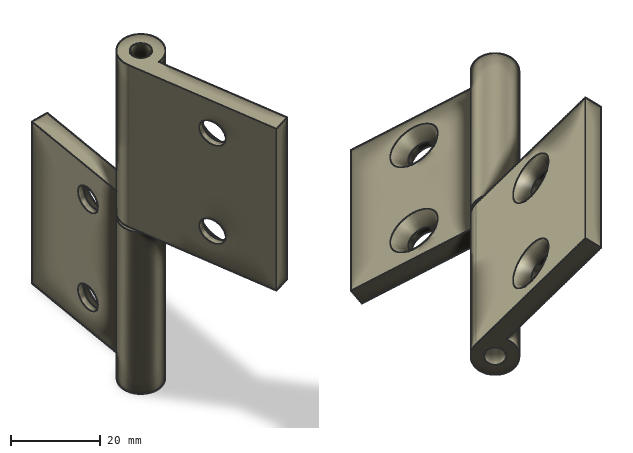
import cadquery as cq

total_height = 100.0
leaf_gap = 1.0
barrel_diameter = 11.0
bore_diameter = 5.0
leaf_length = 39.5
leaf_thickness = 4.5
screw_hole_diameter = 7.0
countersink_diameter = 12.8
screw_hole_spacing = 30.0
lower_hole_distance = 19.8
upper_hole_distance = 22.5
lower_leaf_angle = 175.5
upper_leaf_angle = 13.4

leaf_height = (total_height - leaf_gap) / 2
barrel_radius = barrel_diameter / 2
countersink_depth = (countersink_diameter - screw_hole_diameter) / 2
tangent_face_y = -barrel_radius
inner_face_y = tangent_face_y + leaf_thickness
plate_center_offset = barrel_radius - leaf_thickness / 2


def make_screw_hole(countersunk_face_y):
    """Through hole along Y, widening to a cone at one leaf face, centred on X = Z = 0."""
    through_hole = cq.Workplane("XZ").circle(screw_hole_diameter / 2).extrude(barrel_radius, both=True)
    inward = 1 if countersunk_face_y == tangent_face_y else -1
    cone = cq.Solid.makeCone(
        countersink_diameter / 2,
        screw_hole_diameter / 2,
        countersink_depth,
        pnt=cq.Vector(0, countersunk_face_y, 0),
        dir=cq.Vector(0, inward, 0),
    )
    return through_hole.union(cq.Workplane(cone))


def make_leaf(hole_distance, countersunk_face_y):
    """Leaf along +X, standing on Z = 0, with its outer face tangent to the barrel at -Y."""
    barrel = cq.Workplane("XY").circle(barrel_radius).extrude(leaf_height)
    plate = (
        cq.Workplane("XY")
        .center(leaf_length / 2, -plate_center_offset)
        .rect(leaf_length, leaf_thickness)
        .extrude(leaf_height)
    )
    bore = cq.Workplane("XY").circle(bore_diameter / 2).extrude(leaf_height)
    leaf = barrel.union(plate).cut(bore)

    screw_hole = make_screw_hole(countersunk_face_y)
    for side in (-1, 1):
        hole_z = leaf_height / 2 + side * screw_hole_spacing / 2
        leaf = leaf.cut(screw_hole.translate((hole_distance, 0, hole_z)))
    return leaf


def swing(leaf, angle):
    """Turn a leaf about the hinge axis."""
    return leaf.rotate((0, 0, 0), (0, 0, 1), angle)


lower_leaf = swing(make_leaf(lower_hole_distance, tangent_face_y), lower_leaf_angle)

upper_leaf = swing(make_leaf(upper_hole_distance, inner_face_y), upper_leaf_angle)
upper_leaf = upper_leaf.translate((0, 0, leaf_height + leaf_gap))

result = cq.Compound.makeCompound([lower_leaf.val(), upper_leaf.val()])